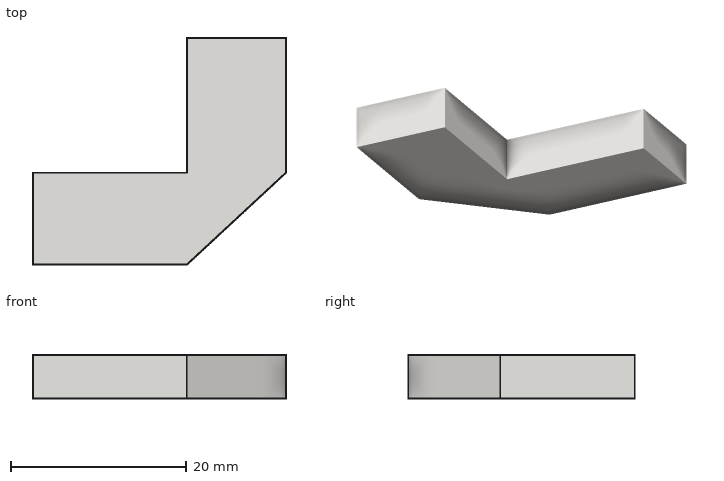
import cadquery as cq

length_x = 28.89
length_y = 25.86
thickness = 5.0

x_arm_width = 10.5
y_arm_width = 11.32

inner_x = length_x - y_arm_width
inner_y = x_arm_width


def angled_bracket():
    """Flat L-shaped plate with its outer corner cut off between the arms."""
    outline = [
        (0, 0),
        (inner_x, 0),
        (length_x, inner_y),
        (length_x, length_y),
        (inner_x, length_y),
        (inner_x, inner_y),
        (0, inner_y),
    ]
    return cq.Workplane("XY").polyline(outline).close().extrude(thickness)


result = angled_bracket()